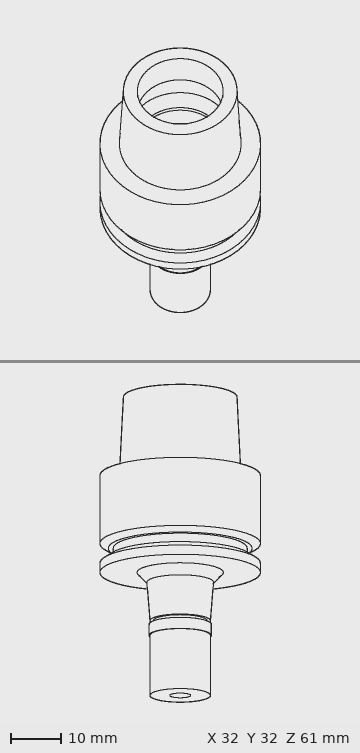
import cadquery as cq

SHANK_TOP = 12.25
COLLAR_TOP = 14.5
NECK_BOTTOM = 15.25
NECK_TOP = 23.1
FLANGE_BOTTOM = 25.15
FLANGE_RIM_TOP = 27.0
GROOVE_BOTTOM = 28.1
GROOVE_TOP = 30.1
BODY_RIM_BOTTOM = 31.05
BODY_TOP = 44.95
TAPER_TOP = 61.0

BODY_RADIUS = 32.0 / 2
GROOVE_LIP_RADIUS = 14.35
GROOVE_RADIUS = 13.35
TAPER_BASE_RADIUS = 12.15
TAPER_TOP_RADIUS = 11.35
FLARE_RADIUS = 8.6
NECK_TOP_RADIUS = 6.65
SHANK_RADIUS = 6.05
COLLAR_RADIUS = 6.2
RELIEF_RADIUS = 5.35

MOUTH_RADIUS = 8.55
MOUTH_DEPTH = 6.5
CHAMBER_RADIUS = 10.1
CHAMBER_DEPTH = 12.3
CONE_LENGTH = 2.75
BORE_FLOOR_DEPTH = 15.85
COUNTERBORE_RADIUS = 5.05
COUNTERBORE_DEPTH = 21.95
HOLE_RADIUS = 2.1


def revolve_profile(points):
    """Turn a closed (radius, height) outline about the Z axis."""
    return cq.Workplane("XZ").polyline(points).close().revolve(360, (0, 0), (0, 1))


def make_holder():
    """Tapered neck, grooved flange and hollow locating taper, with a stepped bore."""
    chamber_top = TAPER_TOP - MOUTH_DEPTH
    chamber_bottom = TAPER_TOP - CHAMBER_DEPTH
    cone_bottom = chamber_bottom - CONE_LENGTH
    bore_floor = TAPER_TOP - BORE_FLOOR_DEPTH
    counterbore_floor = TAPER_TOP - COUNTERBORE_DEPTH
    return revolve_profile([
        (HOLE_RADIUS, NECK_BOTTOM),
        (SHANK_RADIUS, NECK_BOTTOM),
        (NECK_TOP_RADIUS, NECK_TOP),
        (FLARE_RADIUS, FLANGE_BOTTOM),
        (BODY_RADIUS, FLANGE_BOTTOM),
        (BODY_RADIUS, FLANGE_RIM_TOP),
        (GROOVE_LIP_RADIUS, GROOVE_BOTTOM),
        (GROOVE_RADIUS, GROOVE_BOTTOM),
        (GROOVE_RADIUS, GROOVE_TOP),
        (GROOVE_LIP_RADIUS, GROOVE_TOP),
        (BODY_RADIUS, BODY_RIM_BOTTOM),
        (BODY_RADIUS, BODY_TOP),
        (TAPER_BASE_RADIUS, BODY_TOP),
        (TAPER_TOP_RADIUS, TAPER_TOP),
        (MOUTH_RADIUS, TAPER_TOP),
        (MOUTH_RADIUS, chamber_top),
        (CHAMBER_RADIUS, chamber_top),
        (CHAMBER_RADIUS, chamber_bottom),
        (MOUTH_RADIUS, cone_bottom),
        (MOUTH_RADIUS, bore_floor),
        (COUNTERBORE_RADIUS, bore_floor),
        (COUNTERBORE_RADIUS, counterbore_floor),
        (HOLE_RADIUS, counterbore_floor),
    ])


def make_shank():
    """Straight shank with a collar and a short relieved top meeting the holder's neck."""
    return revolve_profile([
        (HOLE_RADIUS, 0),
        (SHANK_RADIUS, 0),
        (SHANK_RADIUS, SHANK_TOP),
        (COLLAR_RADIUS, SHANK_TOP),
        (COLLAR_RADIUS, COLLAR_TOP),
        (RELIEF_RADIUS, COLLAR_TOP),
        (RELIEF_RADIUS, NECK_BOTTOM),
        (HOLE_RADIUS, NECK_BOTTOM),
    ])


holder = make_holder()
shank = make_shank()
result = cq.Compound.makeCompound([holder.val(), shank.val()])